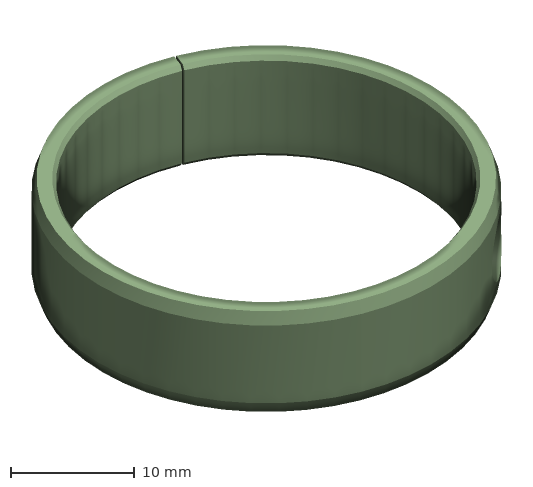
import cadquery as cq

outer_diameter = 38.0
inner_diameter = 34.0
height = 10.0

outer_bevel_width = 0.4
outer_bevel_height = 1.15
inner_bevel_width = 0.3
inner_bevel_height = 0.4

slit_width = 0.2
slit_center_y = 0.2

hole_diameter = 6.0
hole_angle = 59.0

outer_radius = outer_diameter / 2
inner_radius = inner_diameter / 2
half_height = height / 2


def make_ring():
    """Revolve the bevelled wall section around Z, centred on the origin."""
    outer_bevel_z = half_height - outer_bevel_height
    inner_bevel_z = half_height - inner_bevel_height
    rim_outer = outer_radius - outer_bevel_width
    rim_inner = inner_radius + inner_bevel_width
    section = [
        (rim_inner, -half_height),
        (rim_outer, -half_height),
        (outer_radius, -outer_bevel_z),
        (outer_radius, outer_bevel_z),
        (rim_outer, half_height),
        (rim_inner, half_height),
        (inner_radius, inner_bevel_z),
        (inner_radius, -inner_bevel_z),
    ]
    return cq.Workplane("XZ").polyline(section).close().revolve(360, (0, 0), (0, 1))


def make_slit():
    """Thin full-height cutter reaching from the axis out through the -X wall."""
    return (
        cq.Workplane("XY")
        .box(outer_diameter, slit_width, 2 * height)
        .translate((-outer_radius, slit_center_y, 0))
    )


def make_hole():
    """Cylinder running outward from the axis at the hole angle."""
    return (
        cq.Workplane("YZ")
        .circle(hole_diameter / 2)
        .extrude(outer_diameter)
        .rotate((0, 0, 0), (0, 0, 1), hole_angle)
    )


result = make_ring().cut(make_slit()).cut(make_hole())